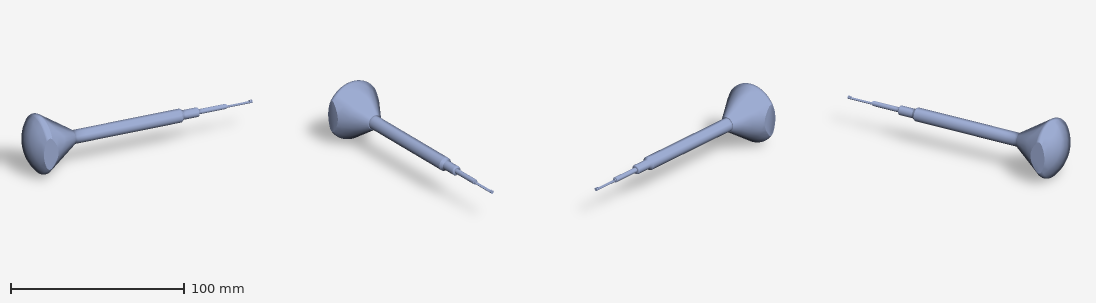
import cadquery as cq
import math


overall_length = 144.0
knob_length = 30.0
handle_length = 68.2
shoulder_length = 1.8
ferrule_length = 9.8
shaft_length = 17.5
blade_length = overall_length - (
    knob_length + handle_length + shoulder_length + ferrule_length + shaft_length
)

knob_radius = 18.0
knob_neck_radius = 4.6
knob_rim_fillet = 3.0
knob_dome_radius = 25.0
knob_width = 30.0

handle_diameter = 8.2
ferrule_diameter = 5.7
ferrule_fillet = 0.9
shaft_diameter = 3.0

blade_diameter = 2.0
blade_root_length = 0.8
blade_flat_height = -0.1
hook_length = 1.7
hook_plate_thickness = 0.45
hook_neck_length = 0.95
hook_neck_diameter = 1.5

handle_end = handle_length
shoulder_end = handle_end + shoulder_length
ferrule_end = shoulder_end + ferrule_length
shaft_end = ferrule_end + shaft_length
tip = shaft_end + blade_length


def revolve_about_axis(profile):
    """Revolve a (radius, Y) profile around the tool axis."""
    return profile.close().revolve(360, (0, 0, 0), (0, 1, 0))


def make_knob():
    """Cone and spherical dome joined by a rounded rim, with two flat sides."""
    dome_center_y = knob_dome_radius - knob_length
    rim_center_r = knob_radius - knob_rim_fillet
    rim_offset = math.sqrt((knob_dome_radius - knob_rim_fillet) ** 2 - rim_center_r ** 2)
    rim_center_y = dome_center_y - rim_offset

    run = rim_center_r - knob_neck_radius
    to_rim = math.hypot(run, rim_center_y)
    normal_angle = math.atan2(-rim_center_y, -run) - math.acos(knob_rim_fillet / to_rim)
    cone_end = (
        rim_center_r + knob_rim_fillet * math.cos(normal_angle),
        rim_center_y + knob_rim_fillet * math.sin(normal_angle),
    )

    dome_angle = math.atan2(rim_offset, rim_center_r)
    dome_edge = (
        knob_dome_radius * math.cos(dome_angle),
        dome_center_y - knob_dome_radius * math.sin(dome_angle),
    )
    mid_angle = (dome_angle + math.pi / 2) / 2
    dome_mid = (
        knob_dome_radius * math.cos(mid_angle),
        dome_center_y - knob_dome_radius * math.sin(mid_angle),
    )

    profile = (
        cq.Workplane("ZY")
        .lineTo(knob_neck_radius, 0)
        .lineTo(*cone_end)
        .threePointArc((knob_radius, rim_center_y), dome_edge)
        .threePointArc(dome_mid, (0, -knob_length))
    )
    side_flats = cq.Workplane("XY").box(knob_width, 2 * knob_length, 2 * knob_radius)
    return revolve_about_axis(profile).intersect(side_flats)


def make_stem():
    """Handle, conical shoulder, rounded ferrule, shaft and round blade blank."""
    handle_r = handle_diameter / 2
    ferrule_r = ferrule_diameter / 2
    shaft_r = shaft_diameter / 2
    blade_r = blade_diameter / 2
    profile = (
        cq.Workplane("ZY")
        .lineTo(handle_r, 0)
        .lineTo(handle_r, handle_end)
        .lineTo(ferrule_r, shoulder_end)
        .lineTo(ferrule_r, ferrule_end - ferrule_fillet)
        .radiusArc((ferrule_r - ferrule_fillet, ferrule_end), -ferrule_fillet)
        .lineTo(shaft_r, ferrule_end)
        .lineTo(shaft_r, shaft_end)
        .lineTo(blade_r, shaft_end)
        .lineTo(blade_r, tip)
        .lineTo(0, tip)
    )
    return revolve_about_axis(profile)


def make_blade_flat():
    """Cut that leaves the lower half of the blade between its root and its hook."""
    start = shaft_end + blade_root_length
    length = tip - hook_length - start
    return (
        cq.Workplane("XY")
        .box(blade_diameter, length, blade_diameter, centered=(True, False, False))
        .translate((0, start, blade_flat_height))
    )


def make_hook_groove():
    """Groove behind the end plate, leaving a round neck flush with the blade's underside."""
    neck_drop = (blade_diameter - hook_neck_diameter) / 2
    return (
        cq.Workplane("XZ", origin=(0, tip - hook_plate_thickness, 0))
        .rect(2 * blade_diameter, 2 * blade_diameter)
        .center(0, -neck_drop)
        .circle(hook_neck_diameter / 2)
        .extrude(hook_neck_length)
    )


result = make_knob().union(make_stem()).cut(make_blade_flat()).cut(make_hook_groove())